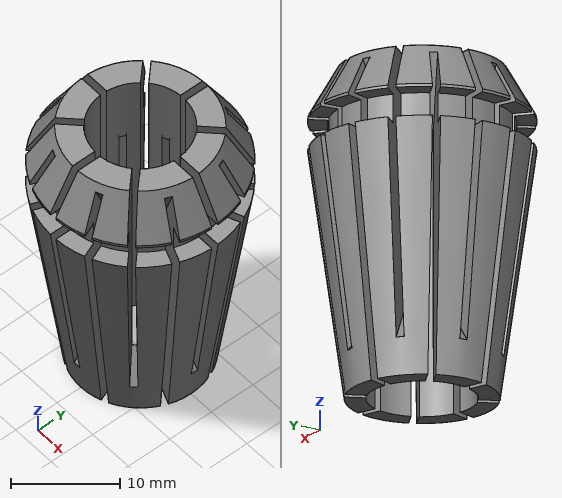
import cadquery as cq
import math

length = 31.5
outer_radius = 10.5
bore_radius = 5.17

body_half_angle = 8.0
nose_half_angle = 30.0
body_top = 23.85
groove_top = 26.62
nose_bottom = 26.9
groove_radius = 8.65

slot_width = 0.75
slots_per_end = 8
upper_slot_slope = 51.0
lower_slot_slope = 64.0
upper_slot_end = 3.53
lower_slot_end = 30.68

cut_margin = 1.58

bottom_radius = outer_radius - body_top * math.tan(math.radians(body_half_angle))
top_radius = outer_radius - (length - nose_bottom) * math.tan(math.radians(nose_half_angle))


def body_radius_at(height):
    return bottom_radius + height * math.tan(math.radians(body_half_angle))


def nose_radius_at(height):
    return top_radius + (length - height) * math.tan(math.radians(nose_half_angle))


def make_blank():
    """Tapered sleeve with its bore and extraction groove."""
    profile = [
        (bore_radius, 0),
        (bottom_radius, 0),
        (outer_radius, body_top),
        (groove_radius, body_top),
        (groove_radius, groove_top),
        (outer_radius, groove_top),
        (outer_radius, nose_bottom),
        (top_radius, length),
        (bore_radius, length),
    ]
    return cq.Workplane("XZ").polyline(profile).close().revolve(360, (0, 0), (0, 1))


def make_slot(end_radius, end_height, end_slope, open_height):
    """Radial slot along +X, with a sloped closed end and an open end past the sleeve.

    The closed end passes through (end_radius, end_height) on the outer taper
    and leans towards the open end as it nears the axis.
    """
    toward_open = math.copysign(1, open_height - end_height)
    slope = -toward_open * math.tan(math.radians(end_slope))
    inner = bore_radius - cut_margin
    outer = outer_radius + cut_margin
    profile = [
        (inner, end_height + slope * (inner - end_radius)),
        (outer, end_height + slope * (outer - end_radius)),
        (outer, open_height),
        (inner, open_height),
    ]
    return cq.Workplane("XZ").polyline(profile).close().extrude(slot_width / 2, both=True)


def cut_slots(part, slot, first_angle):
    """Cut equally spaced copies of a slot around the axis."""
    pitch = 360 / slots_per_end
    for index in range(slots_per_end):
        part = part.cut(slot.rotate((0, 0, 0), (0, 0, 1), first_angle + index * pitch))
    return part


upper_slot = make_slot(
    body_radius_at(upper_slot_end), upper_slot_end, upper_slot_slope, length + cut_margin
)
lower_slot = make_slot(
    nose_radius_at(lower_slot_end), lower_slot_end, lower_slot_slope, -cut_margin
)

collet = make_blank()
collet = cut_slots(collet, upper_slot, first_angle=0)
collet = cut_slots(collet, lower_slot, first_angle=180 / slots_per_end)

result = collet